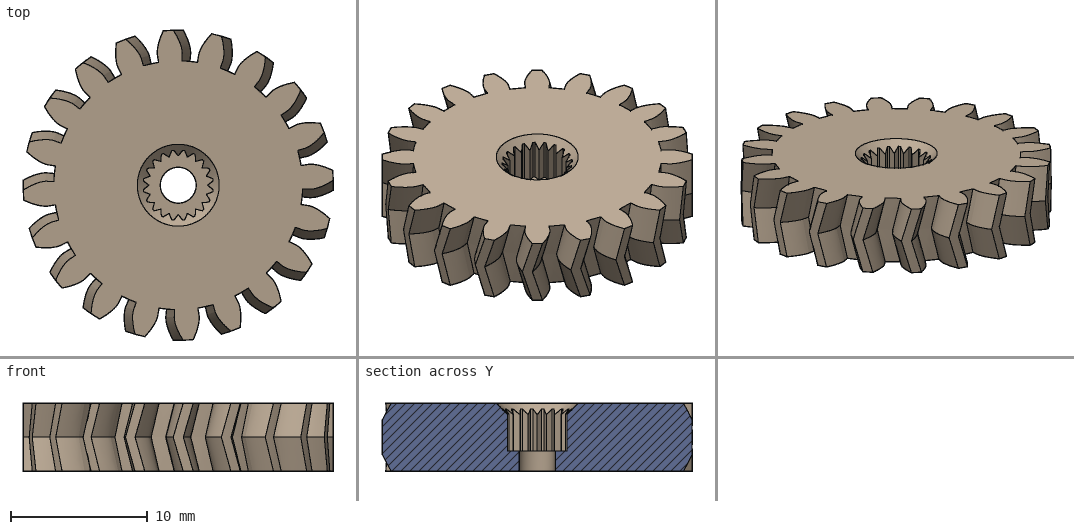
import cadquery as cq
import math

tooth_count = 20
tip_radius = 11.35
pitch_radius = 10.35
root_radius = 9.1
gear_height = 5.0
half_height = gear_height / 2
helix_angle = math.radians(15)
normal_pressure_angle = math.radians(20)

spline_count = 20
spline_outer_radius = 2.56
spline_inner_radius = 2.15
spline_flat_share = 0.2
socket_depth = 3.5
bore_diameter = 2.6
countersink_radius = 3.0
countersink_slope = 1.0

pressure_angle = math.atan(math.tan(normal_pressure_angle) / math.cos(helix_angle))
base_radius = pitch_radius * math.cos(pressure_angle)
twist_angle = math.degrees(half_height * math.tan(helix_angle) / pitch_radius)
flank_steps = 6


def polar(radius, angle):
    return (radius * math.cos(angle), radius * math.sin(angle))


def involute(angle):
    return math.tan(angle) - angle


def tooth_half_angle(radius):
    """Angle from the tooth centreline to its flank at the given radius."""
    flank_angle = math.acos(min(1.0, base_radius / radius))
    return math.pi / (2 * tooth_count) + involute(pressure_angle) - involute(flank_angle)


def gear_outline():
    """Closed gear outline with one tooth centred on +X."""
    pitch_angle = 2 * math.pi / tooth_count
    root_half_angle = tooth_half_angle(base_radius)
    radius_step = (tip_radius - base_radius) / flank_steps
    radii = [base_radius + i * radius_step for i in range(flank_steps + 1)]
    outline = cq.Workplane("XY").moveTo(*polar(root_radius, -root_half_angle))
    for tooth in range(tooth_count):
        center = tooth * pitch_angle
        rising = [polar(r, center - tooth_half_angle(r)) for r in radii]
        falling = [polar(r, center + tooth_half_angle(r)) for r in reversed(radii)]
        gap_end = center + pitch_angle - root_half_angle
        outline = (
            outline.lineTo(*rising[0])
            .spline(rising[1:], includeCurrent=True)
            .threePointArc(polar(tip_radius, center), falling[0])
            .spline(falling[1:], includeCurrent=True)
            .lineTo(*polar(root_radius, center + root_half_angle))
            .threePointArc(polar(root_radius, center + pitch_angle / 2), polar(root_radius, gap_end))
        )
    return outline.close()


def herringbone_body():
    """Two mirrored helical halves that meet at mid height."""
    upper = gear_outline().twistExtrude(half_height, twist_angle)
    lower = upper.mirror("XY")
    return upper.union(lower).translate((0, 0, half_height))


def spline_socket():
    """Toothed socket cutter, open at the top face, with a ridge on +X."""
    pitch_angle = 2 * math.pi / spline_count
    half_flat = pitch_angle * spline_flat_share / 2
    points = []
    for groove in range(spline_count):
        ridge = groove * pitch_angle
        center = ridge + pitch_angle / 2
        points.append(polar(spline_inner_radius, ridge))
        points.append(polar(spline_outer_radius, center - half_flat))
        points.append(polar(spline_outer_radius, center + half_flat))
    socket_floor = gear_height - socket_depth
    return cq.Workplane("XY", origin=(0, 0, socket_floor)).polyline(points).close().extrude(socket_depth)


def countersink():
    """Conical lead-in that bevels the top ends of the spline ridges."""
    cone_height = (countersink_radius - spline_inner_radius) * countersink_slope
    cone = cq.Solid.makeCone(spline_inner_radius, countersink_radius, cone_height)
    return cq.Workplane(cone).translate((0, 0, gear_height - cone_height))


bore = cq.Workplane("XY").circle(bore_diameter / 2).extrude(gear_height)

result = herringbone_body().cut(spline_socket()).cut(countersink()).cut(bore)